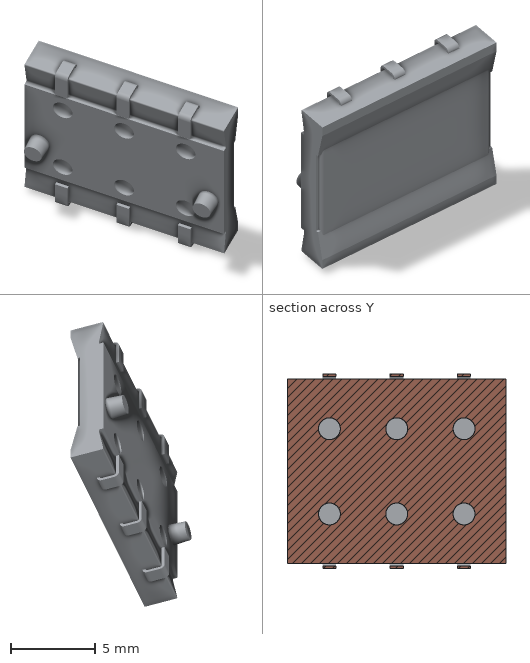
import cadquery as cq
import math

length = 12.98
depth = 2.08
height = 10.98
half_height = height / 2

plate_height = 7.42
front_slope = 10.0
flange_corner_radius = 0.08

back_rim = 0.67
back_slope = 13.0
channel_depth = 0.35
end_recess_depth = 0.6
end_recess_height = 5.89
end_recess_length = 0.2
pad_edge_radius = 0.2

column_pitch = 4.0
column_positions = [-column_pitch, 0, column_pitch]

lead_width = 0.8
lead_thickness = 0.18
lead_bend_radius = 0.31
lead_standoff = 0.31
lead_front = -0.22
lead_reach = 1.39
lead_leg_length = 1.78

hole_diameter = 1.27
hole_depth = 1.0
hole_row_offset = 2.53

peg_base_diameter = 1.27
peg_tip_diameter = 1.15
peg_length = 1.03
peg_offset_x = 5.49
peg_z = -1.01


def mirrored_in_z(points):
    """Close an upper half outline with its reflection below Z = 0."""
    return points + [(y, -z) for y, z in reversed(points)]


def make_body():
    """Constant section along X, cut to the deep end recess of the back channel."""
    ledge_z = plate_height / 2
    recess_z = end_recess_height / 2
    undercut = (half_height - ledge_z) * math.tan(math.radians(front_slope))
    wall_rise = half_height - back_rim - recess_z
    wall_depth = wall_rise * math.tan(math.radians(back_slope))
    upper_outline = [
        (0, ledge_z),
        (undercut, ledge_z),
        (0, half_height),
        (depth, half_height),
        (depth, half_height - back_rim),
        (depth - wall_depth, recess_z),
        (depth - end_recess_depth, recess_z),
    ]
    body = (
        cq.Workplane("YZ")
        .polyline(mirrored_in_z(upper_outline))
        .close()
        .extrude(length / 2, both=True)
    )
    for y, z in [(0, half_height), (undercut, ledge_z)]:
        for side in (1, -1):
            edge = cq.selectors.NearestToPointSelector((0, y, side * z))
            body = body.edges(edge).fillet(flange_corner_radius)
    return body


def make_channel_pad():
    """Pad that raises the channel floor between the two end recesses."""
    pad_length = length - 2 * end_recess_length
    pad_bottom = depth - end_recess_depth
    pad_rise = end_recess_depth - channel_depth
    wall_run = channel_depth / math.tan(math.radians(back_slope))
    pad_height = height - 2 * (back_rim + wall_run)
    pad = cq.Workplane("XY").box(pad_length, pad_rise, pad_height)
    pad = pad.edges("|Z and >Y").fillet(pad_edge_radius)
    return pad.translate((0, pad_bottom + pad_rise / 2, 0))


def make_lead():
    """Upper lead at X = 0: it leaves the body top, bends forward and hangs in front."""
    outer_top = half_height + lead_standoff
    inner_top = outer_top - lead_thickness
    bend_z = outer_top - lead_bend_radius
    lead_back = lead_front + lead_reach
    inner_radius = lead_bend_radius - lead_thickness
    front_center = lead_front + lead_bend_radius
    back_center = lead_back - lead_bend_radius
    leg_end = outer_top - lead_leg_length
    diagonal = math.sqrt(0.5)
    outer_mid = lead_bend_radius * diagonal
    inner_mid = inner_radius * diagonal
    return (
        cq.Workplane("YZ")
        .moveTo(lead_front, leg_end)
        .lineTo(lead_front, bend_z)
        .threePointArc((front_center - outer_mid, bend_z + outer_mid), (front_center, outer_top))
        .lineTo(back_center, outer_top)
        .threePointArc((back_center + outer_mid, bend_z + outer_mid), (lead_back, bend_z))
        .lineTo(lead_back - lead_thickness, bend_z)
        .threePointArc((back_center + inner_mid, bend_z + inner_mid), (back_center, inner_top))
        .lineTo(front_center, inner_top)
        .threePointArc(
            (front_center - inner_mid, bend_z + inner_mid),
            (lead_front + lead_thickness, bend_z),
        )
        .lineTo(lead_front + lead_thickness, leg_end)
        .close()
        .extrude(lead_width / 2, both=True)
    )


def make_peg(x):
    """Peg standing on the front plate and tapering towards -Y."""
    peg = cq.Solid.makeCone(
        peg_base_diameter / 2,
        peg_tip_diameter / 2,
        peg_length,
        pnt=cq.Vector(x, 0, peg_z),
        dir=cq.Vector(0, -1, 0),
    )
    return cq.Workplane(obj=peg)


def make_holes():
    """Two rows of blind holes, sunk from the front plate towards +Y."""
    centers = [(x, z) for x in column_positions for z in (-hole_row_offset, hole_row_offset)]
    return (
        cq.Workplane("XZ")
        .pushPoints(centers)
        .circle(hole_diameter / 2)
        .extrude(-hole_depth)
    )


result = make_body().union(make_channel_pad()).cut(make_holes())

upper_lead = make_lead()
lower_lead = upper_lead.mirror("XY")
for x in column_positions:
    result = result.union(upper_lead.translate((x, 0, 0)))
    result = result.union(lower_lead.translate((x, 0, 0)))

for x in (-peg_offset_x, peg_offset_x):
    result = result.union(make_peg(x))